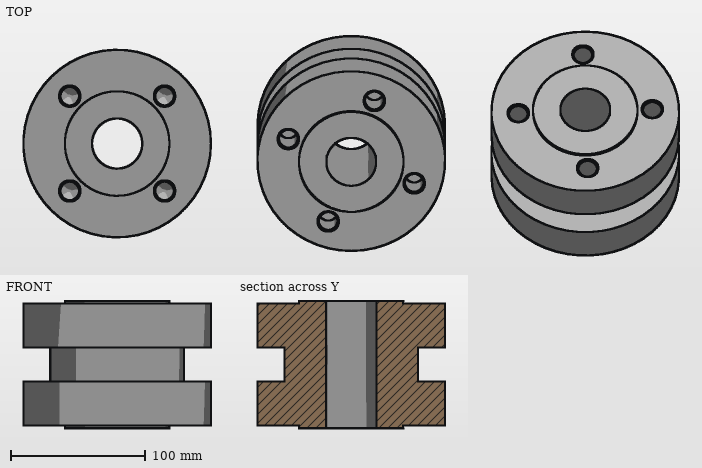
import cadquery as cq
import math

flange_diameter = 140.0
neck_diameter = 100.0
face_diameter = 78.0
bore_diameter = 37.2
total_height = 95.0
face_height = 2.0
flange_thickness = 33.0

bolt_circle_diameter = 100.0
bolt_count = 4
first_bolt_angle = 45.0
hole_diameter = 13.9
mouth_diameter = 16.0
hole_depth = 25.0
drill_point_angle = 118.0

flange_top = total_height / 2 - face_height
flange_bottom = flange_top - flange_thickness


def cylinder(diameter, height):
    """Cylinder on the Z axis, centred on the origin."""
    return cq.Workplane("XY").circle(diameter / 2).extrude(height / 2, both=True)


def flange():
    """Upper flange disc."""
    base = cq.Workplane("XY").workplane(offset=flange_bottom)
    return base.circle(flange_diameter / 2).extrude(flange_thickness)


def bolt_hole():
    """Cutter for one upper bolt hole, on the Z axis, opening at the flange top."""
    hole_radius = hole_diameter / 2
    mouth_radius = mouth_diameter / 2
    chamfer = mouth_radius - hole_radius
    point_height = hole_radius / math.tan(math.radians(drill_point_angle / 2))
    hole_floor = flange_top - hole_depth
    profile = [
        (0, flange_top),
        (mouth_radius, flange_top),
        (hole_radius, flange_top - chamfer),
        (hole_radius, hole_floor),
        (0, hole_floor - point_height),
    ]
    return cq.Workplane("XZ").polyline(profile).close().revolve(360, (0, 0, 0), (0, 1, 0))


upper_flange = flange()
result = cylinder(neck_diameter, 2 * flange_bottom)
result = result.union(upper_flange).union(upper_flange.mirror("XY"))
result = result.union(cylinder(face_diameter, total_height))

result = result.cut(cylinder(bore_diameter, total_height))

for index in range(bolt_count):
    angle = first_bolt_angle + index * 360 / bolt_count
    hole = bolt_hole().translate((bolt_circle_diameter / 2, 0, 0)).rotate((0, 0, 0), (0, 0, 1), angle)
    result = result.cut(hole).cut(hole.mirror("XY"))